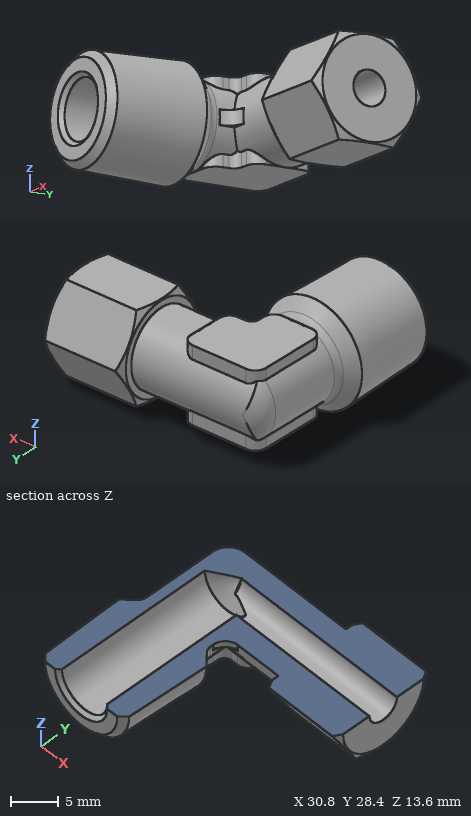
import cadquery as cq
import math

arm_radius = 5.0
outer_corner_radius = 2.5
inner_corner_radius = 1.82
web_half_thickness = 0.85

nut_end = 24.02
nut_length = 11.0
nut_start = nut_end - nut_length
nut_flats = 12.0
nut_corner_radius = nut_flats / math.sqrt(3)
nut_face_radius = 5.9
nut_chamfer_angle = math.radians(30)

male_end = 21.5
male_shoulder = 9.55
male_radius = 6.82
male_chamfer_length = 0.9
male_face_radius = 5.58
pipe_taper = 1 / 32
neck_start = 7.15
neck_arc_radius = 1.4

pad_half_width = 3.52
pad_reach = 6.97
pad_back = 3.82
pad_notch_depth = 3.75
pad_corner_radius = 1.5
pad_notch_radius = 1.0

male_bore_radius = 3.5
male_mouth_radius = 4.0
drill_half_angle = math.radians(59)
nut_bore_radius = 2.0


def make_elbow():
    """Two crossing cylinders closed by a domed outer corner."""
    nut_arm = cq.Workplane("YZ").circle(arm_radius).extrude(nut_start)
    male_arm = cq.Workplane("XZ").circle(arm_radius).extrude(neck_start)

    dome = (
        cq.Workplane("XZ")
        .circle(arm_radius)
        .extrude(-arm_radius)
        .faces(">Y")
        .edges()
        .fillet(outer_corner_radius)
    )
    nut_arm_continued = cq.Workplane("YZ").circle(arm_radius).extrude(arm_radius, both=True)
    return nut_arm.union(male_arm).union(dome.intersect(nut_arm_continued))


def make_inner_web():
    """Thin web with a concave edge in the inside corner of the elbow."""
    tangent = arm_radius + inner_corner_radius
    arc_middle = tangent - inner_corner_radius * math.sqrt(0.5)
    return (
        cq.Workplane("XY")
        .lineTo(tangent, 0)
        .lineTo(tangent, -arm_radius)
        .threePointArc((arc_middle, -arc_middle), (arm_radius, -tangent))
        .lineTo(0, -tangent)
        .close()
        .extrude(web_half_thickness, both=True)
    )


def make_pads():
    """L-shaped column whose two ends are the flat pads."""
    pads = (
        cq.Workplane("XY")
        .moveTo(-pad_half_width, pad_back)
        .lineTo(pad_reach, pad_back)
        .lineTo(pad_reach, -pad_notch_depth)
        .lineTo(pad_half_width, -pad_notch_depth)
        .lineTo(pad_half_width, -pad_reach)
        .lineTo(-pad_half_width, -pad_reach)
        .close()
        .extrude(arm_radius, both=True)
    )
    notch = cq.selectors.NearestToPointSelector((pad_half_width, -pad_notch_depth, 0))
    pads = pads.edges("|Z").edges(notch).fillet(pad_notch_radius)
    outer_corners = [
        (-pad_half_width, pad_back, 0),
        (pad_reach, pad_back, 0),
        (pad_reach, -pad_notch_depth, 0),
        (pad_half_width, -pad_reach, 0),
        (-pad_half_width, -pad_reach, 0),
    ]
    for corner in outer_corners:
        nearest = cq.selectors.NearestToPointSelector(corner)
        pads = pads.edges("|Z").edges(nearest).fillet(pad_corner_radius)
    return pads


def make_male_end():
    """Neck, 45 degree shoulder and tapered thread body turned about the Y axis."""
    half_turn = math.radians(22.5)
    full_turn = math.radians(45)

    def neck_point(angle):
        radius = arm_radius + neck_arc_radius * (1 - math.cos(angle))
        return (radius, -neck_start - neck_arc_radius * math.sin(angle))

    taper_end = male_end - male_chamfer_length
    taper_end_radius = male_radius - pipe_taper * (taper_end - male_shoulder)
    return (
        cq.Workplane("XY")
        .moveTo(0, -neck_start)
        .lineTo(arm_radius, -neck_start)
        .threePointArc(neck_point(half_turn), neck_point(full_turn))
        .lineTo(male_radius, -male_shoulder)
        .lineTo(taper_end_radius, -taper_end)
        .lineTo(male_face_radius, -male_end)
        .lineTo(0, -male_end)
        .close()
        .revolve(360, (0, 0, 0), (0, 1, 0))
    )


def make_nut():
    """Hexagonal prism with two flats facing +Z and -Z and both ends chamfered."""
    hexagon = (
        cq.Workplane("YZ", origin=(nut_start, 0, 0))
        .polygon(6, 2 * nut_corner_radius)
        .extrude(nut_length)
    )
    chamfer_length = (nut_corner_radius - nut_face_radius) * math.tan(nut_chamfer_angle)
    envelope = (
        cq.Workplane("XY")
        .moveTo(nut_start, 0)
        .lineTo(nut_start, nut_face_radius)
        .lineTo(nut_start + chamfer_length, nut_corner_radius)
        .lineTo(nut_end - chamfer_length, nut_corner_radius)
        .lineTo(nut_end, nut_face_radius)
        .lineTo(nut_end, 0)
        .close()
        .revolve(360, (0, 0, 0), (1, 0, 0))
    )
    return hexagon.intersect(envelope)


def make_bores():
    """Drilled male bore with a conical tip, joined by the bore through the nut."""
    tip_depth = male_bore_radius / math.tan(drill_half_angle)
    mouth_depth = male_mouth_radius - male_bore_radius
    male_bore = (
        cq.Workplane("XY")
        .moveTo(0, tip_depth)
        .lineTo(male_bore_radius, 0)
        .lineTo(male_bore_radius, -male_end + mouth_depth)
        .lineTo(male_mouth_radius, -male_end)
        .lineTo(0, -male_end)
        .close()
        .revolve(360, (0, 0, 0), (0, 1, 0))
    )
    nut_bore = cq.Workplane("YZ").circle(nut_bore_radius).extrude(nut_end)
    return male_bore.union(nut_bore)


body = (
    make_elbow()
    .union(make_inner_web())
    .union(make_pads())
    .union(make_male_end())
    .union(make_nut())
)
result = body.cut(make_bores())